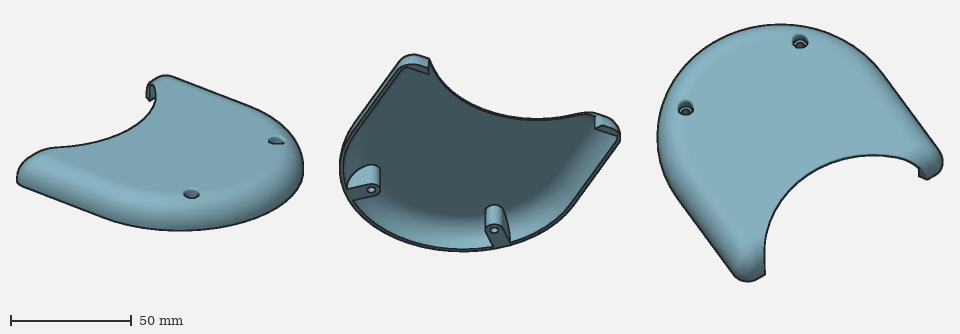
import cadquery as cq
import math

outer_radius = 51.0
end_x = -49.41
height = 12.0
top_round = 11.0
corner_round = 7.0

side_wall = 1.5
end_skin = 1.2
top_wall = 1.2
end_block_length = 3.35

cut_radius = 45.0
cut_center_x = -70.0
cut_edge_round = 0.5

boss_circle_radius = outer_radius - top_round
boss_angles = (-45.0, 45.0)
boss_diameter = 7.4
screw_diameter = 3.4
head_diameter = 6.0
head_floor_z = 7.0
head_edge_round = 1.0

tolerance = 0.01


def domed_body(side_inset, end_inset, top_inset):
    """Rounded body standing on z = 0, moved inward from the outer shape by the three insets."""
    radius = outer_radius - side_inset
    left = end_x + end_inset
    edge_round = top_round - top_inset
    body = (
        cq.Workplane("XY")
        .moveTo(left, -radius)
        .lineTo(0, -radius)
        .threePointArc((radius, 0), (0, radius))
        .lineTo(left, radius)
        .close()
        .extrude(height - top_inset)
        .faces(">Z")
        .edges()
        .fillet(edge_round)
    )
    corner_edges = body.edges().filter(
        lambda edge: edge.BoundingBox().xmax <= left + edge_round + tolerance
        and edge.BoundingBox().ylen <= edge_round + tolerance
        and edge.BoundingBox().zlen > tolerance
    )
    return body.newObject(corner_edges.vals()).fillet(corner_round - side_inset)


def boss_center(angle):
    """Center of the boss at the given angle, in plan."""
    radians = math.radians(angle)
    return (boss_circle_radius * math.cos(radians), boss_circle_radius * math.sin(radians))


def upright_cylinder(center, diameter, bottom=0.0):
    """Cylinder from `bottom` up to the top face level."""
    plane = cq.Workplane("XY").workplane(offset=bottom)
    return plane.center(*center).circle(diameter / 2).extrude(height - bottom)


def boss_with_web(angle):
    """Upright boss with its web running outward to the outer radius."""
    web = (
        cq.Workplane("XY")
        .box(outer_radius - boss_circle_radius, boss_diameter, height, centered=(False, True, False))
        .translate((boss_circle_radius, 0, 0))
        .rotate((0, 0, 0), (0, 0, 1), angle)
    )
    return upright_cylinder(boss_center(angle), boss_diameter).union(web)


def edges_on_cylinder(body, center, radius, lowest_z):
    """Edges that lie on an upright cylinder and have their middle above `lowest_z`."""

    def lies_on_cylinder(edge):
        samples = [edge.positionAt(fraction) for fraction in (0, 0.5, 1)]
        distances = [math.dist((point.x, point.y), center) for point in samples]
        return all(abs(distance - radius) < tolerance for distance in distances)

    found = body.edges().filter(lambda edge: edge.Center().z > lowest_z and lies_on_cylinder(edge))
    return body.newObject(found.vals())


def cut_with_rounded_rim(body, center, diameter, bottom, rim_round):
    """Cut an upright cylinder and round every edge it leaves above its bottom."""
    opened = body.cut(upright_cylinder(center, diameter, bottom))
    return edges_on_cylinder(opened, center, diameter / 2, bottom + tolerance).fillet(rim_round)


def inner_cavity():
    """Hollow of the shell, open at the bottom, leaving the end blocks and bosses solid."""
    end_block = (
        cq.Workplane("XY")
        .box(end_block_length, 2 * outer_radius, height, centered=(False, True, False))
        .translate((end_x, 0, 0))
    )
    cavity = domed_body(side_wall, end_skin, top_wall).cut(end_block)
    for angle in boss_angles:
        cavity = cavity.cut(boss_with_web(angle))
    return cavity


shell = domed_body(0, 0, 0)
shell = cut_with_rounded_rim(shell, (cut_center_x, 0), 2 * cut_radius, 0, cut_edge_round)
for angle in boss_angles:
    center = boss_center(angle)
    shell = cut_with_rounded_rim(shell, center, head_diameter, head_floor_z, head_edge_round)
    shell = shell.cut(upright_cylinder(center, screw_diameter))

result = shell.cut(inner_cavity())